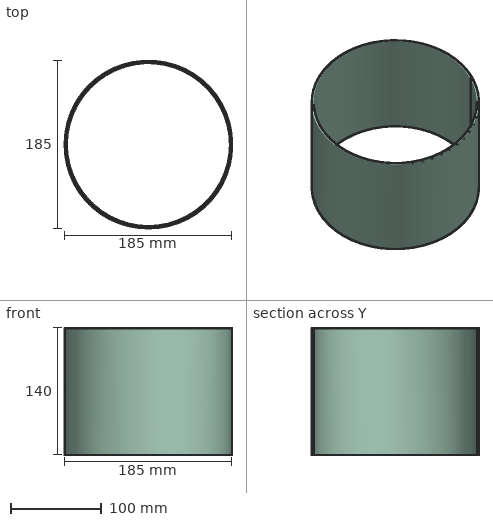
import cadquery as cq

outer_diameter = 185.0
inner_diameter = 180.0
height = 140.0
rim_fillet = 0.5
slit_width = 1.7

outer_radius = outer_diameter / 2
inner_radius = inner_diameter / 2

sleeve = cq.Workplane("XY").circle(outer_radius).circle(inner_radius).extrude(height)
sleeve = sleeve.faces("<Z or >Z").edges().fillet(rim_fillet)

slit = cq.Workplane("XY").box(outer_radius, slit_width, height, centered=False)
slit = slit.translate((-outer_radius, 0, 0))

result = sleeve.cut(slit)